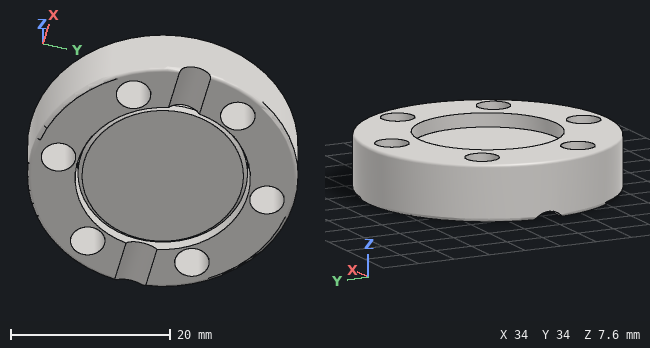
import cadquery as cq

flange_diameter = 34.0
flange_height = 7.6
rim_fillet = 0.5

opening_diameter = 19.2
lip_thickness = 1.85
bore_diameter = 22.0
bore_depth = flange_height - lip_thickness

insert_diameter = 21.3
insert_setback = 0.58
insert_thickness = bore_depth - insert_setback
insert_chamfer = 0.5

bolt_count = 6
bolt_hole_diameter = 4.32
bolt_circle_diameter = 27.0
first_bolt_angle = 90.0

groove_radius = 2.48
groove_depth = 1.02


def make_bolt_holes():
    return (
        cq.Workplane("XY")
        .polarArray(bolt_circle_diameter / 2, first_bolt_angle, 360, bolt_count)
        .circle(bolt_hole_diameter / 2)
        .extrude(flange_height)
    )


def make_leak_groove():
    return (
        cq.Workplane("YZ")
        .center(0, groove_depth - groove_radius)
        .circle(groove_radius)
        .extrude(flange_diameter / 2, both=True)
    )


def make_flange_ring():
    ring = cq.Workplane("XY").circle(flange_diameter / 2).extrude(flange_height)
    ring = ring.faces("<Z or >Z").edges().fillet(rim_fillet)
    opening = cq.Workplane("XY").circle(opening_diameter / 2).extrude(flange_height)
    bore = cq.Workplane("XY").circle(bore_diameter / 2).extrude(bore_depth)
    return ring.cut(opening).cut(bore).cut(make_bolt_holes()).cut(make_leak_groove())


def make_insert():
    return (
        cq.Workplane("XY", origin=(0, 0, insert_setback))
        .circle(insert_diameter / 2)
        .extrude(insert_thickness)
        .faces("<Z")
        .edges()
        .chamfer(insert_chamfer)
    )


flange_ring = make_flange_ring()
insert = make_insert()

result = cq.Compound.makeCompound([flange_ring.val(), insert.val()])